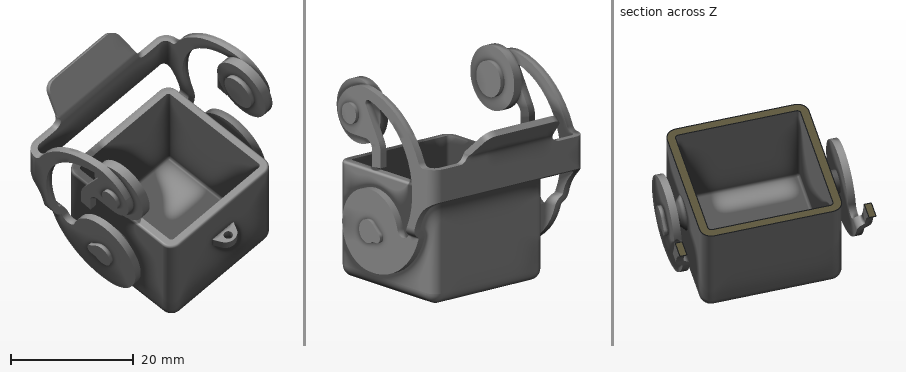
import cadquery as cq
import math


housing_width = 24.0
housing_height = 19.8
housing_corner_radius = 2.0
rim_radius = 0.45
wall = 1.48
floor = 2.0
cavity_radius = 0.55

lug_reach = 2.53
lug_radius = 2.0
lug_root_half_width = 2.5
lug_bottom = 12.0
lug_thickness = 1.55
lug_hole_radius = 0.75
lug_hole_edge = 0.55

pivot = (0.0, 11.0)
pivot_radius = 2.0
boss_root_radius = 2.95
boss_cone_height = 0.95
key_center = (-2.27, 10.45)
key_radius = 0.95

lever_half_width = 16.6
sheet = 1.25
strap_sheet = 1.12
bend_radius = 2.5
strap_front = -16.95
strap_top = 25.0
joggle_top = 14.22
joggle_radius = 0.5
pivot_cap_height = 0.7

disc_radius = 7.0
outer_center = (1.7, 19.15)
outer_radius = 16.65
inner_center = (1.9, 20.15)
inner_radius = 13.85
heel_center = (-0.75, 15.8)
throat_center = (-20.25, 12.25)
notch_radius = 1.48
shoulder_radius = 1.25
nose_radius = 7.0
tip_radius = 3.57

slot_end_x = -0.97
slot_end_radius = 0.7
hook_angle = 30
hook_front = -4.08
hook_back = -1.95
hook_front_bottom = 22.75
hook_back_bottom = 22.53
hook_bend_radius = 3.97
hook_root_radius = 1.75

roller = (3.07, 30.6)
roller_radius = 5.5
roller_width = 1.62
roller_gap = 0.15
pin_radius = 1.77
pin_head_height = 0.7
flange_radius = 3.05
flange_width = 0.83

tab_angle = 45
tab_length = 5.75
tab_bend_z = 26.0
tab_root_half_width = 9.05
tab_tip_half_width = 7.75
tab_corner_radius = 2.0
tab_root_radius = 1.5
tab_bend_allowance = 0.35
tab_bend_radius = 2.02


def toward(start, target, distance):
    """Point at a distance from start, in the direction of target."""
    length = math.dist(start, target)
    return tuple(s + (t - s) * distance / length for s, t in zip(start, target))


def crossing(center_a, radius_a, center_b, radius_b):
    """Crossing of two circles that lies to the left of the line from a to b."""
    gap = math.dist(center_a, center_b)
    along = (gap**2 + radius_a**2 - radius_b**2) / (2 * gap)
    across = math.sqrt(radius_a**2 - along**2)
    ux = (center_b[0] - center_a[0]) / gap
    uz = (center_b[1] - center_a[1]) / gap
    return (center_a[0] + along * ux - across * uz, center_a[1] + along * uz + across * ux)


notch_center = crossing(pivot, disc_radius + notch_radius, inner_center, inner_radius - notch_radius)

lever_top = roller[1] + roller_radius
lever_back = pivot[0] + disc_radius


def arc_to(sketch, start, center, end):
    """Add the shorter arc about center that runs from start to end."""
    middle = ((start[0] + end[0]) / 2, (start[1] + end[1]) / 2)
    return sketch.threePointArc(toward(center, middle, math.dist(center, end)), end)


def y_cylinder(center, radius, y_start, y_end):
    """Cylinder along Y between two Y positions, with its axis at center (X, Z)."""
    base = cq.Workplane("XZ", origin=(0, y_start, 0)).center(*center)
    return base.circle(radius).extrude(y_start - y_end)


def make_housing():
    body = cq.Workplane("XY").box(
        housing_width, housing_width, housing_height, centered=(True, True, False)
    )
    body = body.edges("|Z").fillet(housing_corner_radius)
    body = body.faces("<Z").edges().fillet(housing_corner_radius)
    body = body.faces(">Z").edges().fillet(rim_radius)
    cavity_width = housing_width - 2 * wall
    cavity = cq.Workplane("XY", origin=(0, 0, floor)).box(
        cavity_width, cavity_width, housing_height, centered=(True, True, False)
    )
    cavity = cavity.edges("|Z or <Z").fillet(cavity_radius)
    return body.cut(cavity)


def make_lug():
    root_x = housing_width / 2
    tip_x = root_x + lug_reach
    center = (tip_x - lug_radius, 0)
    root = (root_x, lug_root_half_width)
    root_distance = math.dist(center, root)
    tangent_length = math.sqrt(root_distance**2 - lug_radius**2)
    touch_x, touch_y = crossing(root, tangent_length, center, lug_radius)
    embed_x = root_x - wall / 2
    lug = (
        cq.Workplane("XY", origin=(0, 0, lug_bottom))
        .moveTo(embed_x, -lug_root_half_width)
        .lineTo(root_x, -lug_root_half_width)
        .lineTo(touch_x, -touch_y)
        .threePointArc((tip_x, 0), (touch_x, touch_y))
        .lineTo(*root)
        .lineTo(embed_x, lug_root_half_width)
        .close()
        .extrude(lug_thickness)
    )
    hole_x = tip_x - lug_hole_edge - lug_hole_radius
    hole = cq.Workplane("XY").center(hole_x, 0).circle(lug_hole_radius).extrude(housing_height)
    return lug.cut(hole)


def make_pivot():
    """Tapered boss, journal and keyed end on the +Y wall."""
    wall_y = housing_width / 2
    end_y = lever_half_width - sheet + pivot_cap_height
    lever_y = lever_half_width - 2 * sheet
    cone = (
        cq.Workplane("XZ", origin=(0, wall_y, 0))
        .center(*pivot)
        .circle(boss_root_radius)
        .workplane(offset=-boss_cone_height)
        .circle(pivot_radius)
        .loft()
    )
    journal = y_cylinder(pivot, pivot_radius, wall_y - wall / 2, end_y)
    key = y_cylinder(key_center, key_radius, lever_y, end_y)

    span = math.dist(pivot, key_center)
    to_key = math.atan2(key_center[1] - pivot[1], key_center[0] - pivot[0])
    tangent = to_key - math.acos((pivot_radius - key_radius) / span)
    normal = (math.cos(tangent), math.sin(tangent))
    journal_touch = (pivot[0] + pivot_radius * normal[0], pivot[1] + pivot_radius * normal[1])
    key_touch = (key_center[0] + key_radius * normal[0], key_center[1] + key_radius * normal[1])
    key_bottom = (key_center[0], key_center[1] - key_radius)
    web = (
        cq.Workplane("XZ", origin=(0, lever_y, 0))
        .polyline([pivot, journal_touch, key_touch, key_center, key_bottom, (pivot[0], key_bottom[1])])
        .close()
        .extrude(lever_y - end_y)
    )
    return cone.union(journal).union(key).union(web)


def make_side_outline():
    """Lever silhouette, extruded across the full width of the lever."""
    nose_center = crossing(outer_center, outer_radius - nose_radius, roller, nose_radius - tip_radius)
    slot_offset = slot_end_x - inner_center[0]
    slot_end_z = inner_center[1] + math.sqrt((inner_radius - slot_end_radius) ** 2 - slot_offset**2)
    slot_end = (slot_end_x, slot_end_z)
    shoulder_z = strap_top + shoulder_radius
    shoulder_reach = math.sqrt((outer_radius + shoulder_radius) ** 2 - (shoulder_z - outer_center[1]) ** 2)
    shoulder_center = (outer_center[0] - shoulder_reach, shoulder_z)
    heel_radius = math.dist(heel_center, pivot) + disc_radius
    throat_radius = math.dist(heel_center, throat_center) - heel_radius

    strap_reach = strap_front - throat_center[0]
    strap_bottom = throat_center[1] + math.sqrt(throat_radius**2 - strap_reach**2)
    strap_foot = (strap_front, strap_bottom)
    shoulder_start = (shoulder_center[0], strap_top)
    shoulder_end = toward(shoulder_center, outer_center, shoulder_radius)
    nose_start = toward(outer_center, nose_center, outer_radius)
    nose_end = toward(nose_center, roller, nose_radius)
    tip_end = (roller[0], roller[1] - tip_radius)
    slot_normal = math.radians(-hook_angle)
    slot_start = (
        slot_end[0] + slot_end_radius * math.cos(slot_normal),
        slot_end[1] + slot_end_radius * math.sin(slot_normal),
    )
    hook_drop = (slot_start[0] - hook_front) / math.tan(math.radians(hook_angle))
    hook_bend = (hook_front, slot_start[1] - hook_drop)
    slot_finish = toward(inner_center, slot_end, inner_radius)
    notch_start = toward(inner_center, notch_center, inner_radius)
    notch_end = toward(notch_center, pivot, notch_radius)
    disc_right = (pivot[0] + disc_radius, pivot[1])
    disc_top = (pivot[0], pivot[1] + disc_radius)
    heel_start = toward(heel_center, pivot, heel_radius)
    heel_end = toward(heel_center, throat_center, heel_radius)
    inner_left = (inner_center[0] - inner_radius, inner_center[1])

    outline = cq.Workplane("XZ", origin=(0, lever_half_width, 0)).moveTo(*strap_foot)
    outline = outline.lineTo(strap_front, strap_top).lineTo(*shoulder_start)
    outline = arc_to(outline, shoulder_start, shoulder_center, shoulder_end)
    outline = arc_to(outline, shoulder_end, outer_center, nose_start)
    outline = arc_to(outline, nose_start, nose_center, nose_end)
    outline = arc_to(outline, nose_end, roller, tip_end)
    outline = outline.lineTo(hook_back, tip_end[1]).lineTo(hook_back, hook_back_bottom)
    outline = outline.lineTo(hook_front, hook_front_bottom).lineTo(*hook_bend).lineTo(*slot_start)
    outline = arc_to(outline, slot_start, slot_end, slot_finish)
    outline = outline.threePointArc(inner_left, notch_start)
    outline = arc_to(outline, notch_start, notch_center, notch_end)
    outline = arc_to(outline, notch_end, pivot, disc_top)
    outline = arc_to(outline, disc_top, pivot, disc_right)
    outline = arc_to(outline, disc_right, pivot, heel_start)
    outline = arc_to(outline, heel_start, heel_center, heel_end)
    outline = arc_to(outline, heel_end, throat_center, strap_foot)
    side = outline.close().extrude(2 * lever_half_width)

    def edge_near(x, z):
        return cq.selectors.NearestToPointSelector((x, 0, z))

    side = side.edges(edge_near(hook_back, tip_end[1])).fillet(hook_root_radius)
    return side.edges(edge_near(*hook_bend)).fillet(hook_bend_radius)


def make_strap():
    """U-shaped strip along the front and both arms, above the joggles."""
    length = lever_back - strap_front
    bottom = joggle_top + 2 * sheet
    height = lever_top - bottom
    outside = cq.Workplane("XY", origin=(strap_front, 0, bottom)).box(
        length, 2 * lever_half_width, height, centered=(False, True, False)
    )
    outside = outside.edges("|Z and <X").fillet(bend_radius)
    inside = cq.Workplane("XY", origin=(strap_front + strap_sheet, 0, bottom)).box(
        length, 2 * (lever_half_width - sheet), height, centered=(False, True, False)
    )
    inside = inside.edges("|Z and <X").fillet(bend_radius - sheet)
    return outside.cut(inside)


def make_joggled_arm():
    """+Y arm: an S-bend steps it inwards by one sheet thickness on its way down to the disc."""
    outer_y = lever_half_width
    middle_y = outer_y - sheet
    inner_y = middle_y - sheet
    outside_radius = joggle_radius + sheet
    radius_sum = joggle_radius + outside_radius
    turn = math.acos(1 - sheet / radius_sum)
    joggle_bottom = joggle_top - radius_sum * math.sin(turn)
    upper_center = (middle_y - joggle_radius, joggle_top)
    lower_center = (middle_y + joggle_radius, joggle_bottom)
    outside_joint = toward(upper_center, lower_center, outside_radius)
    inside_joint = toward(upper_center, lower_center, joggle_radius)

    arm = cq.Workplane("YZ", origin=(strap_front + bend_radius, 0, 0)).moveTo(outer_y, lever_top)
    arm = arm.lineTo(outer_y, joggle_top)
    arm = arc_to(arm, (outer_y, joggle_top), upper_center, outside_joint)
    arm = arc_to(arm, outside_joint, lower_center, (middle_y, joggle_bottom))
    arm = arm.lineTo(middle_y, 0).lineTo(inner_y, 0).lineTo(inner_y, joggle_bottom)
    arm = arc_to(arm, (inner_y, joggle_bottom), lower_center, inside_joint)
    arm = arc_to(arm, inside_joint, upper_center, (middle_y, joggle_top))
    arm = arm.lineTo(middle_y, lever_top).close()
    return arm.extrude(notch_center[0] - strap_front - bend_radius)


def make_lever():
    strap = make_strap()
    disc_clearance = cq.Workplane("XY", origin=(notch_center[0], 0, 0)).box(
        lever_back - notch_center[0], 2 * lever_half_width, housing_height, centered=(False, True, False)
    )
    disc_plate = cq.Workplane("XY", origin=(notch_center[0], lever_half_width - 2 * sheet, 0)).box(
        lever_back - notch_center[0], sheet, housing_height, centered=False
    )
    bent_sheet = strap.cut(disc_clearance)
    for plate in (make_joggled_arm(), disc_plate):
        bent_sheet = bent_sheet.union(plate).union(plate.mirror("XZ"))
    return bent_sheet.intersect(make_side_outline())


def make_tab():
    """Tab that rises from the strap and leans away from the housing."""
    lean = math.radians(tab_angle)
    lean_x = -math.sin(lean)
    lean_z = math.cos(lean)
    strap_back = strap_front + strap_sheet
    back_bend_z = tab_bend_z + strap_sheet * math.tan(lean / 2)
    tip = (strap_front + tab_length * lean_x, tab_bend_z + tab_length * lean_z)
    tip_back = (tip[0] + strap_sheet * lean_z, tip[1] - strap_sheet * lean_x)
    root_z = strap_top - sheet
    strip = (
        cq.Workplane("XZ", origin=(0, lever_half_width, 0))
        .polyline(
            [
                (strap_front, root_z),
                (strap_front, tab_bend_z),
                tip,
                tip_back,
                (strap_back, back_bend_z),
                (strap_back, root_z),
            ]
        )
        .close()
        .extrude(2 * lever_half_width)
    )
    front_bend = cq.selectors.NearestToPointSelector((strap_front, 0, tab_bend_z))
    back_bend = cq.selectors.NearestToPointSelector((strap_back, 0, back_bend_z))
    strip = strip.edges(back_bend).fillet(tab_bend_radius)
    strip = strip.edges(front_bend).fillet(tab_bend_radius - strap_sheet)

    flare = tab_root_half_width + tab_root_radius
    flare_top = strap_top + tab_root_radius
    flare_mid = flare - tab_root_radius * math.sin(math.pi / 4)
    flare_mid_z = flare_top - tab_root_radius * math.sin(math.pi / 4)
    root = (
        cq.Workplane("YZ", origin=(strap_front - tab_bend_allowance, 0, 0))
        .moveTo(-flare, root_z)
        .lineTo(-flare, strap_top)
        .threePointArc((-flare_mid, flare_mid_z), (-tab_root_half_width, flare_top))
        .lineTo(tab_root_half_width, flare_top)
        .threePointArc((flare_mid, flare_mid_z), (flare, strap_top))
        .lineTo(flare, root_z)
        .close()
        .extrude(strap_sheet + tab_bend_allowance)
    )

    blade_plane = cq.Plane(
        origin=(strap_front, 0, tab_bend_z), xDir=(0, 1, 0), normal=(lean_z, 0, -lean_x)
    )
    blade = (
        cq.Workplane(blade_plane)
        .workplane(offset=-tab_bend_allowance)
        .polyline(
            [
                (-tab_root_half_width, -tab_root_radius),
                (-tab_root_half_width, 0),
                (-tab_tip_half_width, tab_length),
                (tab_tip_half_width, tab_length),
                (tab_root_half_width, 0),
                (tab_root_half_width, -tab_root_radius),
            ]
        )
        .close()
        .extrude(strap_sheet + tab_bend_allowance)
    )
    tip_corners = cq.selectors.BoxSelector(
        (tip[0] - sheet, -lever_half_width, tip[1] - sheet),
        (tip_back[0] + sheet, lever_half_width, tip_back[1] + sheet),
    )
    blade = blade.edges(cq.selectors.ParallelDirSelector(blade_plane.zDir)).edges(tip_corners)
    blade = blade.fillet(tab_corner_radius)
    return strip.intersect(root.union(blade))


def make_roller():
    """Roller, flange and pin on the +Y arm."""
    roller_outer_y = lever_half_width - sheet - roller_gap
    roller_inner_y = roller_outer_y - roller_width
    pin = y_cylinder(roller, pin_radius, roller_inner_y, lever_half_width + pin_head_height)
    disc = y_cylinder(roller, roller_radius, roller_inner_y, roller_outer_y)
    flange = y_cylinder(roller, flange_radius, roller_inner_y - flange_width, roller_inner_y)
    return pin.union(disc).union(flange)


result = make_housing().union(make_lug()).union(make_lever()).union(make_tab())
for side_part in (make_pivot(), make_roller()):
    result = result.union(side_part).union(side_part.mirror("XZ"))